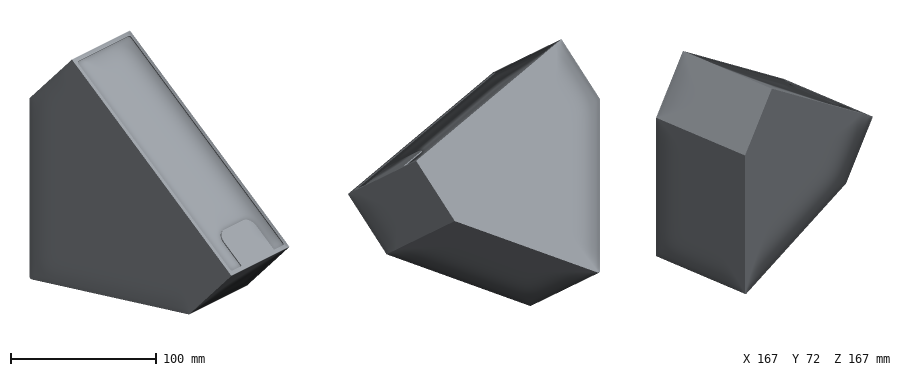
import cadquery as cq
import math

overall = 167.0
width = 72.0
base_leg = 132.0
base_corner_radius = 2.0

bezel_margin = 3.0
seat_corner_radius = 2.0
screen_recess = 0.8
screen_thickness = 2.0

tongue_length = 28.4
tongue_width = 40.1
tongue_corner_radius = 8.0

slope_length = base_leg * math.sqrt(2)
case_thickness = (overall - base_leg) * math.sqrt(2)
seat_length = slope_length - 2 * bezel_margin
seat_width = width - 2 * bezel_margin
seat_depth = screen_recess + screen_thickness

slope_plane = cq.Plane(
    origin=(base_leg / 2, 0, base_leg / 2),
    xDir=(1, 0, -1),
    normal=(1, 0, 1),
)


def make_base():
    """Right-angled wedge with its bottom back edge rounded."""
    wedge = (
        cq.Workplane("XZ")
        .polyline([(0, 0), (base_leg, 0), (0, base_leg)])
        .close()
        .extrude(width / 2, both=True)
    )
    return wedge.edges("|Y and <X and <Z").fillet(base_corner_radius)


def make_seat_block(bottom, height):
    """Rounded rectangle minus the tongue, rising from a height above the slope plane."""
    block = (
        cq.Workplane(slope_plane)
        .workplane(offset=bottom)
        .rect(seat_length, seat_width)
        .extrude(height)
        .edges(cq.selectors.ParallelDirSelector(slope_plane.zDir))
        .fillet(seat_corner_radius)
    )
    tongue = (
        cq.Workplane(slope_plane)
        .workplane(offset=bottom)
        .center(seat_length / 2, 0)
        .rect(2 * tongue_length, tongue_width)
        .extrude(height)
        .edges(cq.selectors.ParallelDirSelector(slope_plane.zDir))
        .fillet(tongue_corner_radius)
    )
    return block.cut(tongue)


def make_case():
    """Slab on the slope, with a shallow seat for the screen."""
    slab = cq.Workplane(slope_plane).rect(slope_length, width).extrude(case_thickness)
    return slab.cut(make_seat_block(case_thickness - seat_depth, seat_depth))


def make_screen():
    """Plate filling the seat up to just below the rim."""
    return make_seat_block(case_thickness - seat_depth, screen_thickness)


base = make_base()
case = make_case()
screen = make_screen()

result = cq.Compound.makeCompound([base.val(), case.val(), screen.val()])